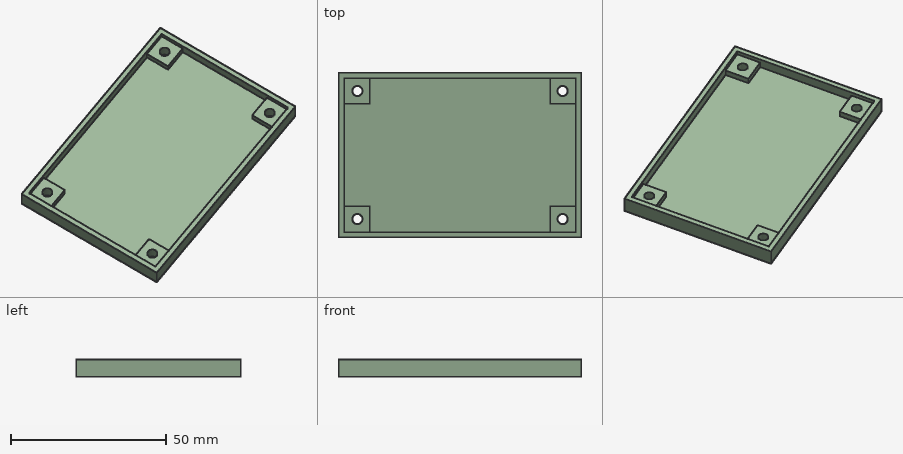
import cadquery as cq

length = 78.0
width = 53.0
height = 5.6

floor_thickness = 2.2
wall_thickness = 1.7

pad_size = 8.3
pad_height = 2.0
hole_diameter = 3.2
hole_spacing_x = 66.0
hole_spacing_y = 41.2

inner_length = length - 2 * wall_thickness
inner_width = width - 2 * wall_thickness


def make_tray():
    """Rectangular tray, open at the top, standing on Z = 0."""
    block = cq.Workplane("XY").box(length, width, height, centered=(True, True, False))
    cavity = (
        cq.Workplane("XY")
        .workplane(offset=floor_thickness)
        .rect(inner_length, inner_width)
        .extrude(height - floor_thickness)
    )
    return block.cut(cavity)


def make_corner_pads():
    """Square pads in the four inner corners, rooted in the floor."""
    return (
        cq.Workplane("XY")
        .rect(inner_length - pad_size, inner_width - pad_size, forConstruction=True)
        .vertices()
        .rect(pad_size, pad_size)
        .extrude(floor_thickness + pad_height)
    )


def make_screw_holes():
    """Cylinders that pass through the pads and the floor."""
    return (
        cq.Workplane("XY")
        .rect(hole_spacing_x, hole_spacing_y, forConstruction=True)
        .vertices()
        .circle(hole_diameter / 2)
        .extrude(height)
    )


result = make_tray().union(make_corner_pads()).cut(make_screw_holes())